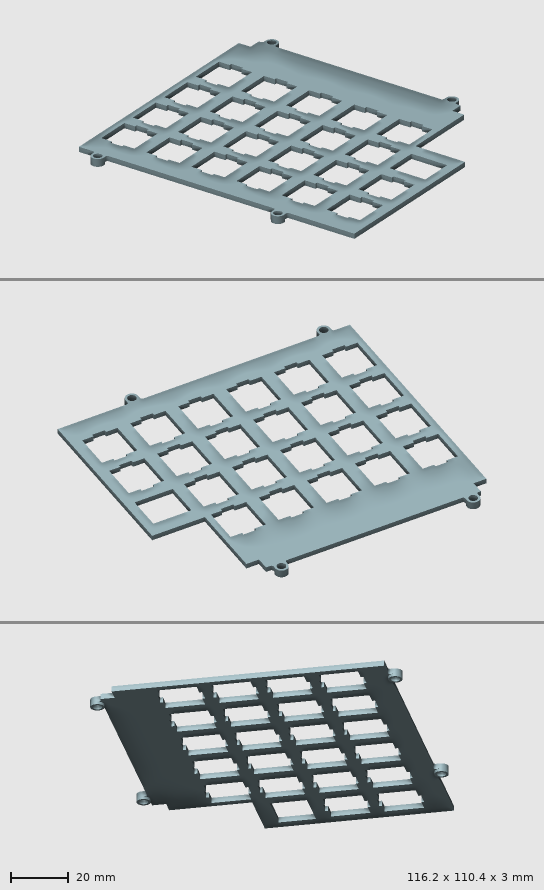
import cadquery as cq

key_pitch = 19.05
key_columns = 5
key_rows = 4
total_width = 116.17
total_depth = 110.44
total_height = 3.0
plate_thickness = 2.0

main_width = key_columns * key_pitch
plate_depth = 101.58
corner_notch = 5.0
side_block_depth = 67.2
front_edge_rise = 0.3

switch_size = 14.0
clip_width = 5.0
clip_depth = 1.0
first_key_x = 9.55
first_key_y = 16.86

window_width = 15.1
window_depth = 13.3
window_row = 2
side_column = key_columns
window_shift_x = 0.2

lug_hole_diameter = 3.3
lug_wall = 0.85
lug_radius = lug_hole_diameter / 2 + lug_wall
lug_fillet = 0.8
lug_overhang = (total_depth - plate_depth) / 2
lug_offset = lug_overhang - lug_radius
lug_drop = total_height - plate_thickness
back_lug_xs = (9.1, 85.2)
front_lug_xs = (9.3, 85.45)

back_lug_y = plate_depth + lug_offset
front_lug_y = -lug_offset
lug_centers = [(x, back_lug_y) for x in back_lug_xs] + [(x, front_lug_y) for x in front_lug_xs]


def key_center(column, row):
    return (first_key_x + column * key_pitch, first_key_y + row * key_pitch)


def make_plate():
    return (
        cq.Workplane("XY")
        .moveTo(0, 0)
        .lineTo(total_width, front_edge_rise)
        .lineTo(total_width, side_block_depth)
        .lineTo(main_width, side_block_depth)
        .lineTo(main_width, plate_depth - corner_notch)
        .lineTo(main_width - corner_notch, plate_depth - corner_notch)
        .lineTo(main_width - corner_notch, plate_depth)
        .lineTo(corner_notch, plate_depth)
        .lineTo(corner_notch, plate_depth - corner_notch)
        .lineTo(0, plate_depth - corner_notch)
        .close()
        .extrude(plate_thickness)
    )


def add_lug_necks(plate):
    """Join each lug centre to the plate with a straight neck, rounded where it meets the edge."""
    neck_length = 2 * lug_offset
    for x, y in lug_centers:
        inward = -1 if y > 0 else 1
        neck = (
            cq.Workplane("XY")
            .center(x, y + inward * neck_length / 2)
            .rect(2 * lug_radius, neck_length)
            .extrude(plate_thickness)
        )
        plate = plate.union(neck)
    for x, y in lug_centers:
        inward = -1 if y > 0 else 1
        edge_y = y + inward * lug_offset
        reach_x = lug_radius + lug_wall / 2
        reach_y = lug_offset / 2
        corners = cq.selectors.BoxSelector(
            (x - reach_x, edge_y - reach_y, -plate_thickness),
            (x + reach_x, edge_y + reach_y, 2 * plate_thickness),
        )
        plate = plate.edges("|Z").edges(corners).fillet(lug_fillet)
    return plate


def add_lug_bosses(plate):
    """Round bosses level with the plate's top and standing below its underside, drilled through."""
    boss_plane = cq.Workplane("XY").workplane(offset=-lug_drop).pushPoints(lug_centers)
    bosses = boss_plane.circle(lug_radius).extrude(total_height)
    holes = boss_plane.circle(lug_hole_diameter / 2).extrude(total_height)
    return plate.union(bosses).cut(holes)


def through_cut(plate, centers, width, depth):
    cutter = cq.Workplane("XY").pushPoints(centers).rect(width, depth).extrude(plate_thickness)
    return plate.cut(cutter)


def cut_keys(plate):
    """Square switch openings, each with a clip notch in its front and back sides."""
    centers = [key_center(column, row) for column in range(key_columns) for row in range(key_rows)]
    centers += [key_center(side_column, row) for row in range(window_row)]
    plate = through_cut(plate, centers, switch_size, switch_size)
    return through_cut(plate, centers, clip_width, switch_size + 2 * clip_depth)


def cut_window(plate):
    column_x, row_y = key_center(side_column, window_row)
    return through_cut(plate, [(column_x + window_shift_x, row_y)], window_width, window_depth)


result = make_plate()
result = add_lug_necks(result)
result = add_lug_bosses(result)
result = cut_keys(result)
result = cut_window(result)